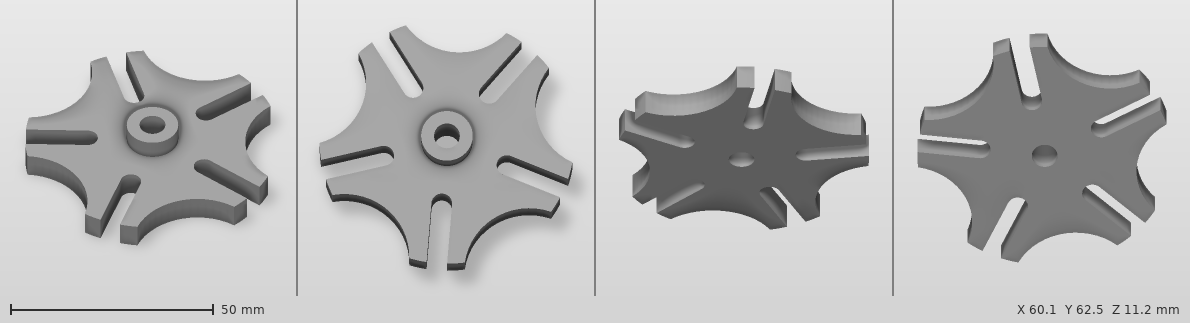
import math
import cadquery as cq

SLOT_COUNT = 5
WHEEL_RADIUS = 31.37
WHEEL_THICKNESS = 6.35
HUB_DIAMETER = 12.7
HUB_HEIGHT = 4.83
BORE_DIAMETER = 6.35
SLOT_WIDTH = 5.08
SLOT_END_CENTRE_RADIUS = 16.0
STOP_ARC_RADIUS = 16.0
STOP_ARC_DEPTH_RADIUS = 22.86

SLOT_PITCH_ANGLE = 360 / SLOT_COUNT
STOP_ARC_CENTRE_RADIUS = STOP_ARC_DEPTH_RADIUS + STOP_ARC_RADIUS


def make_wheel():
    """Round disc, resting on the XY plane, with the hub on its upper face."""
    disc = cq.Workplane("XY").circle(WHEEL_RADIUS).extrude(WHEEL_THICKNESS)
    return disc.faces(">Z").workplane().circle(HUB_DIAMETER / 2).extrude(HUB_HEIGHT)


def make_slot():
    """Radial slot along +X with a round inner end, open at the rim."""
    half_width = SLOT_WIDTH / 2
    return (
        cq.Workplane("XY")
        .moveTo(WHEEL_RADIUS, -half_width)
        .lineTo(SLOT_END_CENTRE_RADIUS, -half_width)
        .threePointArc(
            (SLOT_END_CENTRE_RADIUS - half_width, 0),
            (SLOT_END_CENTRE_RADIUS, half_width),
        )
        .lineTo(WHEEL_RADIUS, half_width)
        .close()
        .extrude(WHEEL_THICKNESS)
    )


def make_stop_cutter():
    """Cylinder, midway between two slots, that leaves one concave locking arc."""
    mid_angle = math.radians(SLOT_PITCH_ANGLE / 2)
    return (
        cq.Workplane("XY")
        .center(
            STOP_ARC_CENTRE_RADIUS * math.cos(mid_angle),
            STOP_ARC_CENTRE_RADIUS * math.sin(mid_angle),
        )
        .circle(STOP_ARC_RADIUS)
        .extrude(WHEEL_THICKNESS)
    )


def cut_around_axis(body, cutter):
    """Cut one copy of the cutter at every slot pitch around the Z axis."""
    for index in range(SLOT_COUNT):
        body = body.cut(cutter.rotate((0, 0, 0), (0, 0, 1), index * SLOT_PITCH_ANGLE))
    return body


def cut_bore(body):
    """Through bore on the wheel axis."""
    bore = cq.Workplane("XY").circle(BORE_DIAMETER / 2).extrude(WHEEL_THICKNESS + HUB_HEIGHT)
    return body.cut(bore)


wheel = make_wheel()
wheel = cut_around_axis(wheel, make_slot())
wheel = cut_around_axis(wheel, make_stop_cutter())
result = cut_bore(wheel)